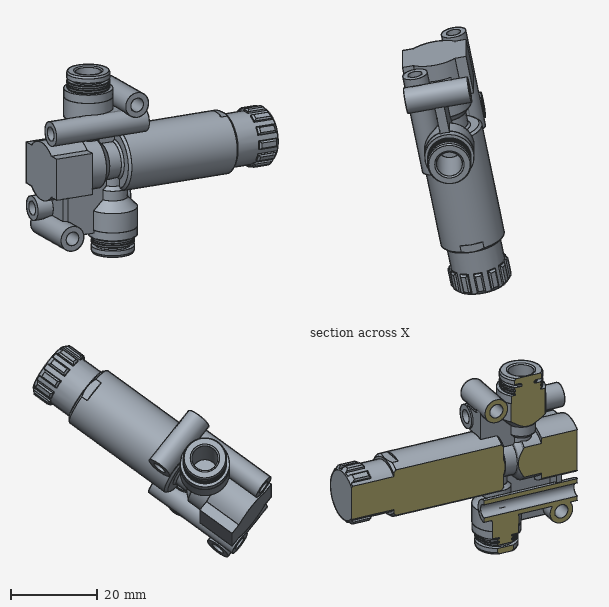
import cadquery as cq
total_length = 59.0
body_width = 15.0
body_radius = body_width / 2

block_length = 9.4
block_radius = 7.0
block_height = 10.0

collar_radius = 6.0
collar_end = 13.9
collar_edge = 0.25
cone_end = 15.4
cone_small_radius = 4.6
waist_radius = 4.4
waist_flare = 0.5

barrel_start = 19.15
barrel_end = 48.0
barrel_chamfer = 0.6
flat_length = 2.15
flat_distance = 7.0

neck_radius = 12.6 / 2
knob_radius = 7.05
knob_length = 5.3
knob_chamfer = 1.0
tooth_count = 12
tooth_width = 2.0
tooth_rim_radius = 6.65
tooth_side_bevel = 0.36
tooth_back_bevel = 0.5

upper_port_x = -1.0
upper_port_y = 12.85
lower_port_x = 0.0
lower_port_y = 18.75
port_height = 44.59 / 2
stem_radius = 5.0 / 2
port_neck_radius = 6.8 / 2
port_body_radius = 11.5 / 2
port_collar_radius = 11.4 / 2
port_collar_start = 16.05
ring_radius = 10.1 / 2
ring_root_radius = 9.7 / 2
groove_radius = 7.8 / 2
groove_top_radius = 8.1 / 2
groove_cone_height = 0.3
stem_cone_start = 5.75
port_neck_end = 9.0
port_body_end = 18.05
flange_thickness = 1.6
flange_edge_height = 0.5
flange_edge_width = 0.25
first_ring_offset = 0.2
ring_thickness = 0.7
ring_gap = 0.35
ring_bevel = 0.15
bore_radius = 6.0 / 2
bore_chamfer_width = 0.4
bore_chamfer_height = 0.25
bore_depth = 11.0

tube_hole_radius = 3.3 / 2
long_tube_radius = 5.8 / 2
long_tube_length = 24.4
long_tube_x = 4.55
long_tube_z = 10.3
cross_tube_radius = 6.0 / 2
cross_tube_z = 15.0
upper_cross_tube_y = 21.15
lower_cross_tube_y = 4.15

web_half_thickness = 1.1
web_root = 1.5
web_overlap = 1.0
level_web_top = long_tube_z + long_tube_radius
level_web_bottom = long_tube_z - long_tube_radius
upper_web_end = 24.0
lower_web_depth = 16.75
cross_web_start = 4.0
cross_web_end = 5.3
cross_web_left = -4.4
cross_web_right = 3.15


def box(x_range, y_range, z_range):
    """A box spanning the given coordinate ranges."""
    sizes = [end - start for start, end in (x_range, y_range, z_range)]
    corner = (x_range[0], y_range[0], z_range[0])
    return cq.Workplane("XY").box(*sizes, centered=False).translate(corner)


def cylinder_y(radius, start, end, x=0.0, z=0.0):
    """A cylinder parallel to Y between two Y positions."""
    return cq.Workplane("XZ", origin=(x, start, z)).circle(radius).extrude(start - end)


def cylinder_x(radius, y, z):
    """A cylinder parallel to X over the full body width."""
    return cq.Workplane("YZ", origin=(-body_radius, y, z)).circle(radius).extrude(body_width)


def make_end_block():
    round_part = cylinder_y(block_radius, 0, block_length)
    bar = box(
        (-body_radius, body_radius),
        (0, block_length),
        (-block_height / 2, block_height / 2),
    )
    return round_part.union(bar)


def make_turned_body():
    """Collar, cone, waist, barrel and knob core, turned about the main axis."""
    profile = [
        (0, 0),
        (collar_radius, 0),
        (collar_radius, collar_end),
        (collar_radius - collar_edge, collar_end + collar_edge),
        (cone_small_radius, cone_end),
        (waist_radius, cone_end + cone_small_radius - waist_radius),
        (waist_radius, barrel_start - waist_flare),
        (waist_radius + waist_flare, barrel_start),
        (body_radius - barrel_chamfer, barrel_start),
        (body_radius, barrel_start + barrel_chamfer),
        (body_radius, barrel_end - barrel_chamfer),
        (body_radius - barrel_chamfer, barrel_end),
        (neck_radius, barrel_end),
        (neck_radius, total_length),
        (0, total_length),
    ]
    return cq.Workplane("XY").polyline(profile).close().revolve(360, (0, 0), (0, 1))


def cut_barrel_flats(body):
    """Cut two opposite flats, above and below, at the knob end of the barrel."""
    for side in (1, -1):
        inner, outer = side * flat_distance, side * (body_radius + 1)
        flat = box(
            (-body_radius, body_radius),
            (barrel_end - flat_length, barrel_end),
            (min(inner, outer), max(inner, outer)),
        )
        body = body.cut(flat)
    return body


def make_tooth():
    """One knob tooth on the +Z side, bevelled on both flanks and at the back."""
    start = total_length - knob_length
    half_width = tooth_width / 2
    half_top = half_width - tooth_side_bevel
    section = [
        (-half_width, 0),
        (half_width, 0),
        (half_width, tooth_rim_radius),
        (half_top, knob_radius),
        (-half_top, knob_radius),
        (-half_width, tooth_rim_radius),
    ]
    across = cq.Workplane("XZ", origin=(0, start, 0)).polyline(section).close().extrude(-knob_length)
    side_outline = [
        (start, 0),
        (start, tooth_rim_radius),
        (start + tooth_back_bevel, knob_radius),
        (total_length, knob_radius),
        (total_length, 0),
    ]
    along = cq.Workplane("YZ").polyline(side_outline).close().extrude(half_width, both=True)
    return across.intersect(along)


def add_knob_teeth(body):
    tooth = make_tooth()
    for index in range(tooth_count):
        angle = 360 / tooth_count * index
        body = body.union(tooth.rotate((0, 0, 0), (0, 1, 0), angle))
    return body


def chamfer_knob_end(body):
    """Cone off the free end of the knob, teeth and core alike."""
    end_radius = knob_radius - knob_chamfer
    outside = 1.0
    ring = [
        (end_radius, total_length),
        (knob_radius + outside, total_length - knob_chamfer - outside),
        (knob_radius + outside, total_length),
    ]
    return body.cut(cq.Workplane("XY").polyline(ring).close().revolve(360, (0, 0), (0, 1)))


def ring_points(bottom):
    """Profile of one retaining ring with bevelled edges, from its lower root to its upper root."""
    top = bottom + ring_thickness
    return [
        (ring_root_radius, bottom),
        (ring_radius, bottom + ring_bevel),
        (ring_radius, top - ring_bevel),
        (ring_root_radius, top),
    ]


def turn_about_z(profile, side, x, y):
    """Revolve (radius, height) points about a vertical axis; side -1 points them downwards."""
    points = [(radius, side * height) for radius, height in profile]
    return cq.Workplane("XZ").polyline(points).close().revolve(360, (0, 0), (0, 1)).translate((x, y, 0))


def make_port(side, x, y):
    """A tube fitting pointing up (side = 1) or down (side = -1), starting on the main axis."""
    neck_start = stem_cone_start + port_neck_radius - stem_radius
    cone_height = port_body_radius - port_neck_radius
    first_ring = port_body_end + first_ring_offset
    second_ring = first_ring + ring_thickness + ring_gap
    groove_start = second_ring + ring_thickness
    flange_start = port_height - flange_thickness
    profile = [
        (0, 0),
        (stem_radius, 0),
        (stem_radius, stem_cone_start),
        (port_neck_radius, neck_start),
        (port_neck_radius, port_neck_end),
        (port_body_radius, port_neck_end + cone_height),
        (port_body_radius, port_collar_start),
        (port_collar_radius, port_collar_start),
        (port_collar_radius, port_body_end),
        (ring_root_radius, port_body_end),
        *ring_points(first_ring),
        *ring_points(second_ring),
        (groove_radius, groove_start),
        (groove_radius, flange_start - groove_cone_height),
        (groove_top_radius, flange_start),
        (ring_radius, flange_start),
        (ring_radius, port_height - flange_edge_height),
        (ring_radius - flange_edge_width, port_height),
        (0, port_height),
    ]
    return turn_about_z(profile, side, x, y)


def make_bore(side, x, y):
    """The blind tube bore of a fitting, with a chamfered mouth."""
    profile = [
        (0, port_height - bore_depth),
        (bore_radius, port_height - bore_depth),
        (bore_radius, port_height - bore_chamfer_height),
        (bore_radius + bore_chamfer_width, port_height),
        (0, port_height),
    ]
    return turn_about_z(profile, side, x, y)


def make_upper_web():
    """Webs from the barrel to the upper cross tube and out to the upper long tube."""
    left = upper_port_x - web_half_thickness
    y_range = (upper_port_y + web_overlap, upper_web_end)
    upright = box((left, upper_port_x + web_half_thickness), y_range, (web_root, cross_tube_z))
    level = box((left, long_tube_x), y_range, (level_web_bottom, level_web_top))
    return upright.union(level)


def make_lower_web():
    """Webs from the lower fitting to the lower cross tube, with a plate across its end."""
    right = lower_port_x + web_half_thickness
    y_range = (cross_web_start, lower_port_y - web_overlap)
    upright = box((lower_port_x - web_half_thickness, right), y_range, (-lower_web_depth, -web_root))
    cross = box(
        (cross_web_left, cross_web_right),
        (cross_web_start, cross_web_end),
        (-cross_tube_z, -web_root),
    )
    return upright.union(cross)


def make_tubes(extra_radius=None):
    """The four mounting tubes, or the holes through them when a single radius is given."""
    long_radius = extra_radius or long_tube_radius
    cross_radius = extra_radius or cross_tube_radius
    tubes = cylinder_y(long_radius, 0, long_tube_length, long_tube_x, long_tube_z)
    tubes = tubes.union(cylinder_y(long_radius, 0, long_tube_length, -long_tube_x, -long_tube_z))
    tubes = tubes.union(cylinder_x(cross_radius, upper_cross_tube_y, cross_tube_z))
    return tubes.union(cylinder_x(cross_radius, lower_cross_tube_y, -cross_tube_z))


body = cut_barrel_flats(make_turned_body())
body = chamfer_knob_end(add_knob_teeth(body))
result = body.union(make_end_block())
for web in (make_upper_web(), make_lower_web()):
    result = result.union(web)
result = result.union(make_port(1, upper_port_x, upper_port_y))
result = result.union(make_port(-1, lower_port_x, lower_port_y))
result = result.union(make_tubes()).cut(make_tubes(tube_hole_radius))
result = result.cut(make_bore(1, upper_port_x, upper_port_y))
result = result.cut(make_bore(-1, lower_port_x, lower_port_y))